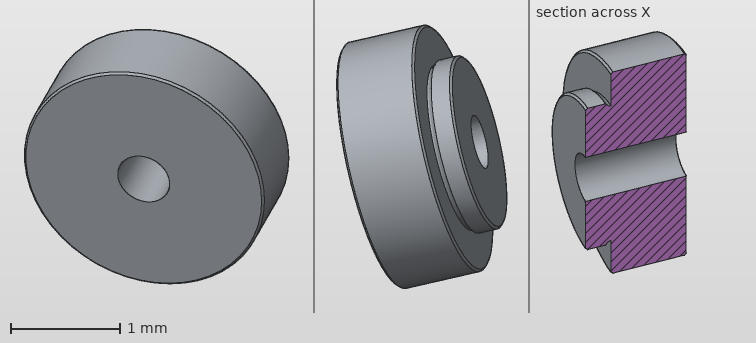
import cadquery as cq
import math

disc_diameter = 2.31
disc_thickness = 0.75
boss_diameter = 1.625
boss_height = 0.25
bore_diameter = 0.5
edge_chamfer = 0.02
undercut_width = 0.053
undercut_radius = 0.04

disc_radius = disc_diameter / 2
boss_radius = boss_diameter / 2
bore_radius = bore_diameter / 2

back_y = (disc_thickness + boss_height) / 2
front_y = -back_y
shoulder_y = front_y + disc_thickness

cone_angle = math.radians(45)
arc_width = undercut_radius * math.sin(cone_angle)
arc_drop = undercut_radius * (1 - math.cos(cone_angle))
cone_width = undercut_width - arc_width
cone_end_radius = boss_radius - cone_width
root_radius = cone_end_radius - arc_drop
arc_middle = (
    root_radius + undercut_radius * (1 - math.cos(cone_angle / 2)),
    shoulder_y + undercut_radius * math.sin(cone_angle / 2),
)

half_section = (
    cq.Workplane("XY")
    .moveTo(bore_radius, front_y)
    .lineTo(disc_radius - edge_chamfer, front_y)
    .lineTo(disc_radius, front_y + edge_chamfer)
    .lineTo(disc_radius, shoulder_y - edge_chamfer)
    .lineTo(disc_radius - edge_chamfer, shoulder_y)
    .lineTo(root_radius, shoulder_y)
    .threePointArc(arc_middle, (cone_end_radius, shoulder_y + arc_width))
    .lineTo(boss_radius, shoulder_y + undercut_width)
    .lineTo(boss_radius, back_y - edge_chamfer)
    .lineTo(boss_radius - edge_chamfer, back_y)
    .lineTo(bore_radius, back_y)
    .close()
)

result = half_section.revolve(360, (0, 0, 0), (0, 1, 0))